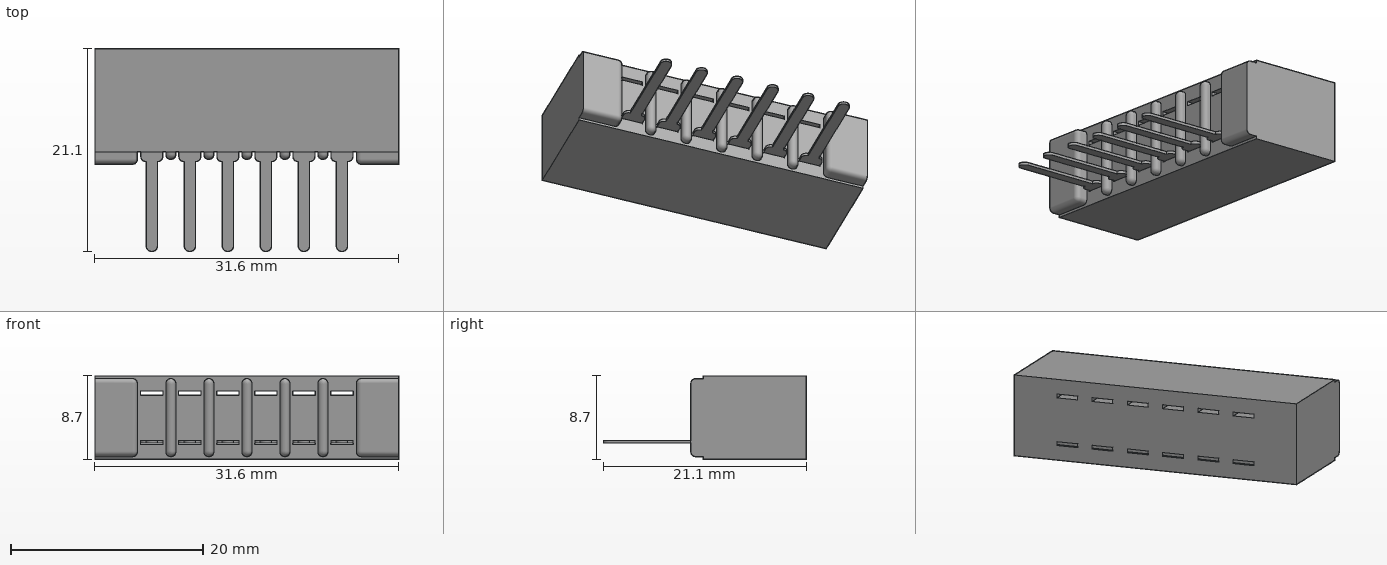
import cadquery as cq


width = 31.65
height = 8.7
total_length = 21.1
contact_reach = 10.38
depth = total_length - contact_reach

contact_count = 6
pitch = 3.95
row_offset = 2.55
slot_width = 2.3
slot_height = 0.4

step = 0.3
round_radius = 0.5
raised_height = height - 2 * step
foot_width = 4.43
foot_projection = 1.3
rib_projection = 0.8
rib_width = 1.05

contact_thickness = 0.3
shank_width = 1.2
shoulder_straight = 0.47


def contact_positions():
    """X of each contact, centred on the housing."""
    first = -(contact_count - 1) * pitch / 2
    return [first + i * pitch for i in range(contact_count)]


def rib_positions():
    """X of each rib, midway between neighbouring contacts."""
    return [x + pitch / 2 for x in contact_positions()[:-1]]


def make_foot(side):
    """Rounded end block on the contact face; side is -1 or +1 in X."""
    foot = cq.Workplane("XY").box(
        foot_width, foot_projection, raised_height, centered=(True, False, True)
    )
    inner, outer = ("<X", ">X") if side > 0 else (">X", "<X")
    foot = foot.edges(f"(<Y or {inner}) and (not >Y) and (not {outer})").fillet(round_radius)
    return foot.translate((side * (width - foot_width) / 2, -foot_projection, 0))


def make_rib(x):
    """Upright rib with rounded ends and a fully rounded front rim."""
    rib = (
        cq.Workplane("XZ", origin=(x, 0, 0))
        .slot2D(raised_height, rib_width, 90)
        .extrude(rib_projection)
    )
    return rib.faces("<Y").edges().fillet(round_radius)


def make_slots():
    """Two rows of through slots for the contacts."""
    points = [(x, z) for x in contact_positions() for z in (-row_offset, row_offset)]
    return (
        cq.Workplane("XZ")
        .pushPoints(points)
        .rect(slot_width, slot_height)
        .extrude(-depth)
    )


def make_housing():
    """Block with end feet, separating ribs and contact slots."""
    housing = cq.Workplane("XY").box(width, depth, height, centered=(True, False, True))
    for side in (-1, 1):
        housing = housing.union(make_foot(side))
    for x in rib_positions():
        housing = housing.union(make_rib(x))
    return housing.cut(make_slots())


def make_contact(x):
    """Flat contact filling the depth of its lower slot, against the upper slot wall."""
    half_shoulder = slot_width / 2
    half_shank = shank_width / 2
    shoulder_radius = half_shoulder - half_shank
    shoulder_end = -shoulder_straight - shoulder_radius
    tip_start = -contact_reach + half_shank
    underside = -row_offset + slot_height / 2 - contact_thickness
    return (
        cq.Workplane("XY", origin=(x, 0, underside))
        .moveTo(-half_shoulder, depth)
        .lineTo(-half_shoulder, -shoulder_straight)
        .radiusArc((-half_shank, shoulder_end), -shoulder_radius)
        .lineTo(-half_shank, tip_start)
        .threePointArc((0, -contact_reach), (half_shank, tip_start))
        .lineTo(half_shank, shoulder_end)
        .radiusArc((half_shoulder, -shoulder_straight), -shoulder_radius)
        .lineTo(half_shoulder, depth)
        .close()
        .extrude(contact_thickness)
    )


housing = make_housing()
contacts = [make_contact(x) for x in contact_positions()]

result = cq.Compound.makeCompound([housing.val(), *[contact.val() for contact in contacts]])